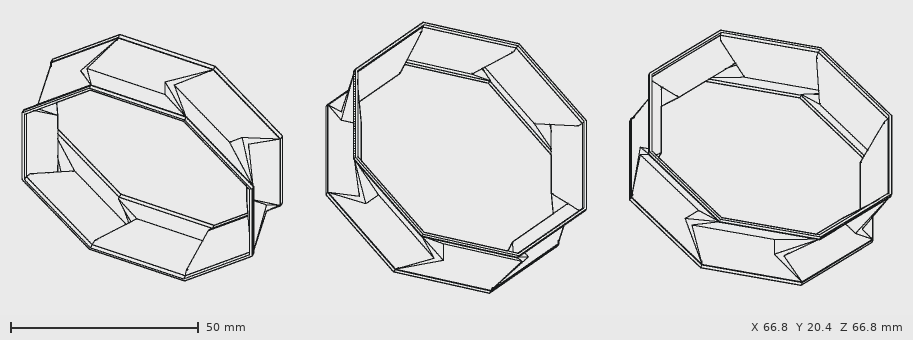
import cadquery as cq
import math

SIDES = 8
OUTER_SIZE = 66.8
TOTAL_WIDTH = 20.4
RIM_WIDTH = 1.2
RIM_THICKNESS = 0.75
BAND_INSET = 0.2

GROOVE_DEPTH = 5.2
CHEVRON_LENGTH = 10.0
SHEET_THICKNESS = 0.5

rim_apothem = OUTER_SIZE / 2
bore_apothem = rim_apothem - RIM_THICKNESS
band_apothem = rim_apothem - BAND_INSET
band_half_width = TOTAL_WIDTH / 2 - RIM_WIDTH
band_half_side = band_apothem * math.tan(math.pi / SIDES)

depth_shift = SHEET_THICKNESS * math.hypot(GROOVE_DEPTH, band_half_width) / band_half_width
length_shift = SHEET_THICKNESS * math.hypot(CHEVRON_LENGTH, band_half_width) / band_half_width


def octagon_prism(apothem, half_width):
    """Octagon with horizontal and vertical flats, centred on the Y axis."""
    corner_diameter = 2 * apothem / math.cos(math.pi / SIDES)
    return (
        cq.Workplane("XZ")
        .transformed(rotate=(0, 0, 180 / SIDES))
        .polygon(SIDES, corner_diameter)
        .extrude(half_width, both=True)
    )


def groove_body(depth_offset, length_offset):
    """V prism along the top side: open past its -X corner, chevron-ended at its +X corner.

    The offsets grow the groove into the body that leaves the sheet behind its faces.
    """
    floor_depth = GROOVE_DEPTH + depth_offset
    mouth_half_width = band_half_width * floor_depth / GROOVE_DEPTH
    v_section = [
        (-mouth_half_width, band_apothem),
        (mouth_half_width, band_apothem),
        (0, band_apothem - floor_depth),
    ]
    v_prism = cq.Workplane("YZ").polyline(v_section).close().extrude(rim_apothem, both=True)

    chevron_base = band_half_side + length_offset
    chevron_plan = [
        (-rim_apothem, -band_half_width),
        (chevron_base, -band_half_width),
        (chevron_base - CHEVRON_LENGTH, 0),
        (chevron_base, band_half_width),
        (-rim_apothem, band_half_width),
    ]
    chevron_prism = cq.Workplane("XY").polyline(chevron_plan).close().extrude(rim_apothem)
    return v_prism.intersect(chevron_prism)


def around_sides(body):
    """Copies of a top-side body turned onto every side."""
    step = 360 / SIDES
    return [body.rotate((0, 0, 0), (0, 1, 0), i * step) for i in range(SIDES)]


band = octagon_prism(band_apothem, band_half_width)
rim_gap = octagon_prism(OUTER_SIZE, band_half_width)
rims = octagon_prism(rim_apothem, TOTAL_WIDTH / 2).cut(rim_gap)
result = band.union(rims).cut(octagon_prism(bore_apothem, TOTAL_WIDTH))

for backing in around_sides(groove_body(depth_shift, length_shift)):
    result = result.union(backing.intersect(band))

for groove in around_sides(groove_body(0, 0)):
    result = result.cut(groove)